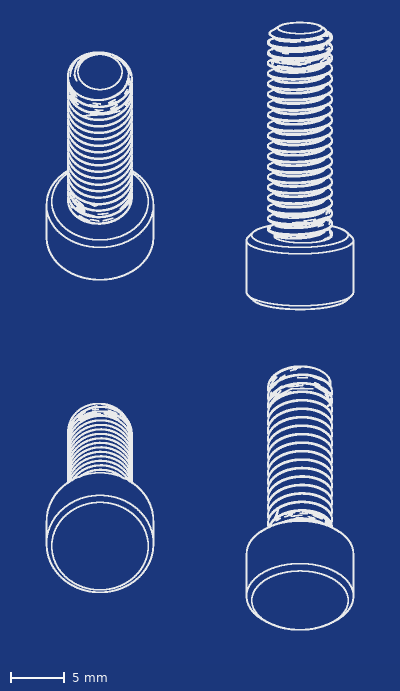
import cadquery as cq
import math

total_length = 26.0
head_diameter = 10.0
head_height = 6.0
head_chamfer = 0.5

major_diameter = 6.0
root_diameter = 4.7
tip_diameter = 4.13
tip_chamfer_height = 0.65

pitch = total_length / 26
crest_width = pitch / 8
flank_angle = 30.0
crest_height_at_plus_x = 0.7
root_embed = 0.08
core_overrun = 3 * pitch
trim_overrun = 5 * pitch

major_radius = major_diameter / 2
root_radius = root_diameter / 2
tip_radius = tip_diameter / 2


def make_head():
    head = cq.Workplane("XY").circle(head_diameter / 2).extrude(head_height)
    return head.faces("<Z or >Z").chamfer(head_chamfer)


def make_tip_trim():
    """Everything beyond the flat tip face and outside the tip cone."""
    cone_slope = tip_chamfer_height / (major_radius - tip_radius)
    outer_radius = head_diameter / 2
    cone_bottom = total_length - (outer_radius - tip_radius) * cone_slope
    trim_top = total_length + trim_overrun
    return (
        cq.Workplane("XZ")
        .moveTo(0, total_length)
        .lineTo(tip_radius, total_length)
        .lineTo(outer_radius, cone_bottom)
        .lineTo(outer_radius, trim_top)
        .lineTo(0, trim_top)
        .close()
        .revolve(360, (0, 0), (0, 1))
    )


def make_thread_ridge():
    """Right-handed ridge that starts inside the head and runs out past the tip."""
    first_turn = math.floor(head_height / pitch) - 2
    start_height = crest_height_at_plus_x + first_turn * pitch
    turns = math.ceil((total_length - start_height) / pitch) + 1

    inner_radius = root_radius - root_embed
    half_crest = crest_width / 2
    flank_rise = (major_radius - inner_radius) * math.tan(math.radians(flank_angle))
    half_base = half_crest + flank_rise

    helix = cq.Wire.makeHelix(pitch, turns * pitch, root_radius)
    profile = cq.Workplane("XZ").polyline([
        (inner_radius, -half_base),
        (major_radius, -half_crest),
        (major_radius, half_crest),
        (inner_radius, half_base),
    ]).close()
    ridge = profile.sweep(cq.Workplane(obj=helix), isFrenet=True)
    return ridge.translate((0, 0, start_height))


core = cq.Workplane("XY").circle(root_radius).extrude(total_length + core_overrun)
threaded_shank = core.union(make_thread_ridge()).cut(make_tip_trim())

result = threaded_shank.union(make_head())